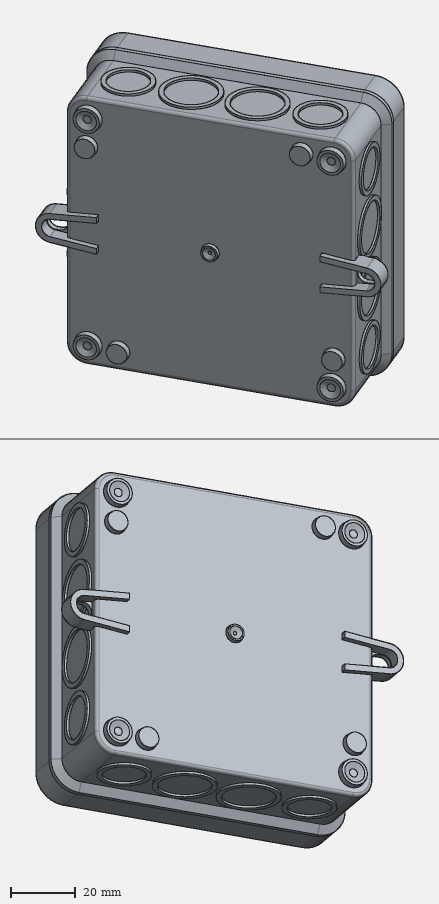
import cadquery as cq
import math


TOTAL_DEPTH = 40.2
LID_DEPTH = 9.9
FOOT_HEIGHT = 2.0
FLANGE_BAND = 1.5
FLANGE_BEVEL_DEPTH = 1.9

LID_SIDE = 100.0
BOX_SIDE = 94.3
CORNER_AXIS = 40.5
FRONT_EDGE_RADIUS = 1.1

RING_HEIGHT = 0.8
RING_WIDTH = 1.6
RING_AXIS_DEPTH = 15.1
LARGE_RING_RADIUS = 10.1
LARGE_RING_OFFSET = 10.9
SMALL_RING_RADIUS = 8.5
SMALL_RING_OFFSET = 31.5

BOSS_OFFSET = 40.0
BOSS_RADIUS = 4.5
BOSS_CONE_RADIUS = 3.4
BOSS_CONE_FLOOR_RADIUS = 1.4
BOSS_CONE_DEPTH = 1.0
PAD_RADIUS = 3.6
PAD_OFFSETS = (30.0, 40.5)
FOOT_TAPER = 0.2

CENTRE_BOSS_RADIUS = 3.0
CENTRE_BOSS_HEIGHT = 1.2
CENTRE_CONE_RADIUS = 2.2
CENTRE_CONE_FLOOR_RADIUS = 0.6
CENTRE_CONE_DEPTH = 0.8

LUG_REACH = 56.6
LUG_DEPTH = 6.7
LUG_RADIUS = 5.1
LUG_WALL = 2.0
LUG_ARM_END = 36.6
LUG_ARM_ANGLE = math.radians(5.2)
LUG_WEB_THICKNESS = 2.0
SLOT_RADIUS = 2.8
SLOT_INNER_END = 47.5

LID_JOINT = TOTAL_DEPTH - LID_DEPTH
FLANGE_START = LID_JOINT - FLANGE_BAND - FLANGE_BEVEL_DEPTH
FLANGE_OVERHANG = (LID_SIDE - BOX_SIDE) / 2
LUG_ARC_CENTRE = LUG_REACH - LUG_RADIUS
LUG_INNER_RADIUS = LUG_RADIUS - LUG_WALL
LUG_WEB_START = LUG_DEPTH - LUG_WEB_THICKNESS
QUARTER_TURNS = (0, 90, 180, 270)


def turned(body, angle):
    """Turn a shape about the Y axis."""
    return body.rotate((0, 0, 0), (0, 1, 0), angle)


def plane_at(depth):
    """Sketch plane at a given Y, with X to the right and Z up."""
    return cq.Workplane("XZ", origin=(0, depth, 0))


def rounded_square(side, start, end):
    """Square block between two depths, rounded about the shared corner axes."""
    block = plane_at(start).rect(side, side).extrude(start - end)
    return block.edges("|Y").fillet(side / 2 - CORNER_AXIS)


def cone(x, z, start, end, start_radius, end_radius):
    """Truncated cone along +Y between two depths."""
    solid = cq.Solid.makeCone(
        start_radius, end_radius, end - start, pnt=cq.Vector(x, start, z), dir=cq.Vector(0, 1, 0)
    )
    return cq.Workplane(solid)


def make_shell():
    """Box body with its rounded front edge and the bevelled flange that carries the lid."""
    body = rounded_square(BOX_SIDE, FOOT_HEIGHT, LID_JOINT)
    body = body.faces("<Y").edges().fillet(FRONT_EDGE_RADIUS)
    flange = rounded_square(LID_SIDE, FLANGE_START, LID_JOINT)
    flange = flange.faces("<Y").edges().chamfer(FLANGE_BEVEL_DEPTH, FLANGE_OVERHANG)
    return body.union(flange)


def make_knockout_rings():
    """The four raised rings on the +Z wall."""
    rings = cq.Workplane("XY")
    for offset, radius in ((LARGE_RING_OFFSET, LARGE_RING_RADIUS), (SMALL_RING_OFFSET, SMALL_RING_RADIUS)):
        for x in (-offset, offset):
            outline = cq.Workplane("XY", origin=(x, RING_AXIS_DEPTH, BOX_SIDE / 2))
            rings = rings.add(outline.circle(radius).circle(radius - RING_WIDTH).extrude(RING_HEIGHT))
    return rings


def make_corner_foot_pair():
    """Screw boss and plain pad of the +X +Z corner."""
    boss = cone(BOSS_OFFSET, BOSS_OFFSET, 0, FOOT_HEIGHT, BOSS_RADIUS - FOOT_TAPER, BOSS_RADIUS)
    recess = cone(BOSS_OFFSET, BOSS_OFFSET, 0, BOSS_CONE_DEPTH, BOSS_CONE_RADIUS, BOSS_CONE_FLOOR_RADIUS)
    pad_x, pad_z = PAD_OFFSETS
    pad = cone(pad_x, pad_z, 0, FOOT_HEIGHT, PAD_RADIUS - FOOT_TAPER, PAD_RADIUS)
    return boss.cut(recess).add(pad)


def add_centre_boss(body):
    """Low boss with a conical dimple in its tip."""
    tip = FOOT_HEIGHT - CENTRE_BOSS_HEIGHT
    dimple_floor = tip + CENTRE_CONE_DEPTH
    boss = cone(0, 0, tip, FOOT_HEIGHT, CENTRE_BOSS_RADIUS - FOOT_TAPER, CENTRE_BOSS_RADIUS)
    dimple = cone(0, 0, tip, dimple_floor, CENTRE_CONE_RADIUS, CENTRE_CONE_FLOOR_RADIUS)
    return body.union(boss).cut(dimple)


def lug_block(radius, start, end):
    """Block with a round tip and two straight sides that spread towards the middle of the box."""
    tangent_x = LUG_ARC_CENTRE + radius * math.sin(LUG_ARM_ANGLE)
    tangent_z = radius * math.cos(LUG_ARM_ANGLE)
    arm_length = LUG_ARC_CENTRE - LUG_ARM_END
    end_z = radius / math.cos(LUG_ARM_ANGLE) + arm_length * math.tan(LUG_ARM_ANGLE)
    outline = (
        plane_at(start)
        .moveTo(LUG_ARM_END, -end_z)
        .lineTo(tangent_x, -tangent_z)
        .threePointArc((LUG_ARC_CENTRE + radius, 0), (tangent_x, tangent_z))
        .lineTo(LUG_ARM_END, end_z)
        .close()
    )
    return outline.extrude(start - end)


def make_lug():
    """Lug on the +X side: a U-shaped front part on a slotted rear web."""
    arms = lug_block(LUG_RADIUS, 0, LUG_WEB_START).cut(lug_block(LUG_INNER_RADIUS, 0, LUG_WEB_START))
    web = lug_block(LUG_RADIUS, LUG_WEB_START, LUG_DEPTH)
    slot_end = LUG_ARC_CENTRE + SLOT_RADIUS
    slot = (
        plane_at(LUG_WEB_START)
        .center((SLOT_INNER_END + slot_end) / 2, 0)
        .slot2D(slot_end - SLOT_INNER_END, 2 * SLOT_RADIUS)
        .extrude(LUG_WEB_START - LUG_DEPTH)
    )
    return arms.union(web.cut(slot))


def make_box():
    box = make_shell()
    rings = make_knockout_rings()
    feet = make_corner_foot_pair()
    for angle in QUARTER_TURNS:
        for feature in rings.vals() + feet.vals():
            box = box.union(turned(cq.Workplane(feature), angle))
    box = add_centre_boss(box)
    lug = make_lug()
    return box.union(lug).union(lug.mirror("YZ"))


def make_lid():
    return rounded_square(LID_SIDE, LID_JOINT, TOTAL_DEPTH)


box = make_box()
lid = make_lid()

result = cq.Compound.makeCompound([box.val(), lid.val()])